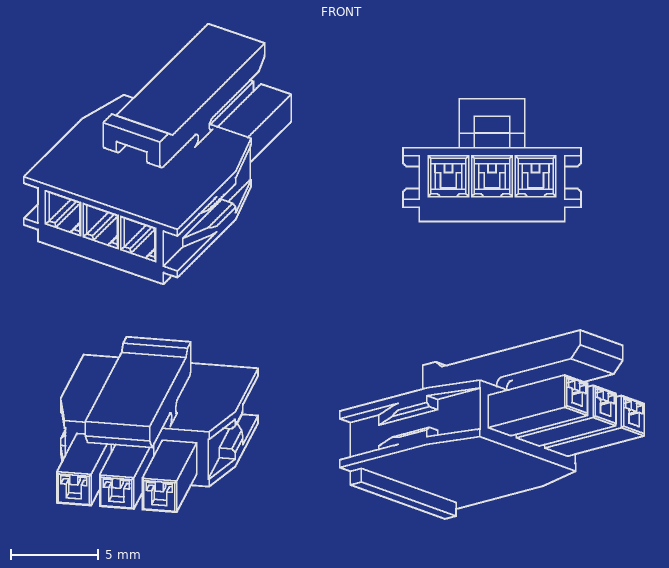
import cadquery as cq


total_length = 15.7
housing_length = 9.83
housing_width = 10.2
housing_height = 3.4
core_width = 8.34
rear_width = 8.45
flange_thickness = 0.47
taper_start = 6.6
foot_length = 0.85
foot_height = 0.82

contact_pitch = 2.5
contact_positions = [-contact_pitch, 0.0, contact_pitch]

wedge_height = 1.08
wedge_nose_start = 4.45
wedge_nose_break = 4.02
wedge_nose_end = 2.17
wedge_break_depth = 0.11
wedge_bevel = 0.2

tongue_width = 2.01
tongue_bottom = 0.72
tongue_height = 1.95
tongue_tip_chamfer = 0.1

cavity_width = 2.01
cavity_bottom = 0.77
cavity_top = 2.8
cavity_length = 7.85
entry_chamfer = 0.15
ramp_height = 0.27
channel_floor_width = 0.94

chamber_width = 1.5
chamber_top = 2.48
chamber_end = 14.92
slot_width = 0.88
slot_bottom = 1.13
key_width = 0.47
key_height = 0.5

latch_width = 3.77
latch_front = 3.5
latch_back = 15.39
latch_gap = 0.83
latch_thickness = 1.59
latch_back_chamfer = 0.69
latch_front_radius = 0.41
catch_height = 0.4
catch_top_length = 0.99
catch_length = 1.43
neck_front = 7.85
neck_back = 9.09
recess_width = 2.03
recess_height = 0.95


def box(x_min, x_max, y_min, y_max, z_min, z_max):
    """Box between two opposite corners."""
    size = (x_max - x_min, y_max - y_min, z_max - z_min)
    return cq.Workplane("XY").box(*size, centered=False).translate((x_min, y_min, z_min))


def centred_box(width, y_min, y_max, z_min, z_max):
    """Box centred on X = 0."""
    return box(-width / 2, width / 2, y_min, y_max, z_min, z_max)


def flange(z_bottom):
    """Plate over the core, tapered in plan towards the tongues."""
    front, rear = housing_width / 2, rear_width / 2
    outline = [
        (-front, 0),
        (front, 0),
        (front, taper_start),
        (rear, housing_length),
        (-rear, housing_length),
        (-front, taper_start),
    ]
    return cq.Workplane("XY").workplane(offset=z_bottom).polyline(outline).close().extrude(flange_thickness)


def wedge():
    """Guide wedge on the +X side of the lower flange, with a two-slope nose and a bevelled outer edge."""
    inner, outer = core_width / 2, housing_width / 2
    plan = [
        (0, wedge_nose_end),
        (inner, wedge_nose_end),
        (outer - wedge_break_depth, wedge_nose_break),
        (outer, wedge_nose_start),
        (outer, taper_start),
        (0, taper_start),
    ]
    body = cq.Workplane("XY").polyline(plan).close().extrude(wedge_height)
    bevel = (
        cq.Workplane("XZ")
        .moveTo(outer, wedge_height)
        .lineTo(outer - wedge_bevel, wedge_height)
        .lineTo(outer, wedge_height - wedge_bevel)
        .close()
        .extrude(-taper_start)
    )
    return body.cut(bevel)


def tongue(x):
    """Solid tongue with a chamfered tip; its root is buried in the housing."""
    body = centred_box(
        tongue_width, taper_start, total_length, tongue_bottom, tongue_bottom + tongue_height
    )
    return body.faces(">Y").chamfer(tongue_tip_chamfer).translate((x, 0, 0))


def wire_cavity():
    """Void for one wire: chamfered entry, straight bore, 45-degree-sided floor channel and end ramp."""
    height = cavity_top - cavity_bottom
    middle = (cavity_bottom + cavity_top) / 2
    entry = (
        cq.Workplane("XZ", origin=(0, 0, middle))
        .rect(cavity_width + 2 * entry_chamfer, height + 2 * entry_chamfer)
        .workplane(offset=-entry_chamfer)
        .rect(cavity_width, height)
        .loft(ruled=True)
    )
    bore = centred_box(cavity_width, 0, cavity_length, cavity_bottom, cavity_top)
    channel_floor = cavity_bottom - entry_chamfer
    channel_top_width = channel_floor_width + 2 * entry_chamfer
    channel_section = [
        (-channel_floor_width / 2, channel_floor),
        (channel_floor_width / 2, channel_floor),
        (channel_top_width / 2, cavity_bottom),
        (-channel_top_width / 2, cavity_bottom),
    ]
    channel = cq.Workplane("XZ").polyline(channel_section).close().extrude(-cavity_length)
    ramp_top = cavity_bottom + ramp_height
    ramp_section = [
        (cavity_length, ramp_top),
        (cavity_length, channel_floor),
        (cavity_length - (ramp_top - channel_floor), channel_floor),
    ]
    ramp = cq.Workplane("YZ").polyline(ramp_section).close().extrude(cavity_width / 2, both=True)
    return entry.union(bore).union(channel).cut(ramp)


def contact_chamber():
    """Void behind a wire cavity: narrowing sides, straight chamber and keyed end opening."""
    bottom = cavity_bottom + ramp_height
    side_step = (cavity_width - chamber_width) / 2
    plan = [
        (-cavity_width / 2, cavity_length),
        (cavity_width / 2, cavity_length),
        (chamber_width / 2, cavity_length + side_step),
        (chamber_width / 2, chamber_end),
        (-chamber_width / 2, chamber_end),
        (-chamber_width / 2, cavity_length + side_step),
    ]
    chamber = (
        cq.Workplane("XY").workplane(offset=bottom).polyline(plan).close().extrude(chamber_top - bottom)
    )
    key_bottom = chamber_top - key_height
    slot = centred_box(slot_width, chamber_end, total_length, slot_bottom, key_bottom)
    window = centred_box(chamber_width, chamber_end, total_length, key_bottom, chamber_top)
    key = centred_box(key_width, chamber_end, total_length, key_bottom, chamber_top)
    return chamber.union(slot).union(window.cut(key))


def latch():
    """Rocking arm on two rounded necks, hollowed between the legs at the front."""
    arm_bottom = housing_height + latch_gap
    arm_top = arm_bottom + latch_thickness
    catch_top = arm_top + catch_height
    gap_middle = housing_height + latch_gap / 2
    gap_radius = latch_gap / 2
    profile = (
        cq.Workplane("YZ")
        .moveTo(latch_front, catch_top)
        .lineTo(latch_front + catch_top_length, catch_top)
        .lineTo(latch_front + catch_length, arm_top)
        .lineTo(latch_back, arm_top)
        .lineTo(latch_back, arm_bottom + latch_back_chamfer)
        .lineTo(latch_back - latch_back_chamfer, arm_bottom)
        .lineTo(neck_back + gap_radius, arm_bottom)
        .threePointArc((neck_back, gap_middle), (neck_back + gap_radius, housing_height))
        .lineTo(neck_front - gap_radius, housing_height)
        .threePointArc((neck_front, gap_middle), (neck_front - gap_radius, arm_bottom))
        .lineTo(latch_front, arm_bottom)
        .close()
        .extrude(latch_width / 2, both=True)
    )
    front_edge = cq.selectors.NearestToPointSelector((0, latch_front, arm_bottom))
    profile = profile.edges(front_edge).fillet(latch_front_radius)
    recess = centred_box(recess_width, latch_front, neck_front, arm_bottom, arm_bottom + recess_height)
    neck_split = centred_box(recess_width, latch_front, latch_back, housing_height, arm_bottom)
    return profile.cut(recess).cut(neck_split)


result = centred_box(core_width, 0, housing_length, 0, housing_height)
result = result.union(centred_box(core_width, 0, foot_length, -foot_height, 0))
result = result.union(flange(0)).union(flange(housing_height - flange_thickness))

lower_wedges = wedge().union(wedge().mirror("YZ"))
upper_wedges = lower_wedges.mirror("XY").translate((0, 0, housing_height))
result = result.union(lower_wedges).union(upper_wedges)

for position in contact_positions:
    result = result.union(tongue(position))
contact_void = wire_cavity().union(contact_chamber())
for position in contact_positions:
    result = result.cut(contact_void.translate((position, 0, 0)))

result = result.union(latch())